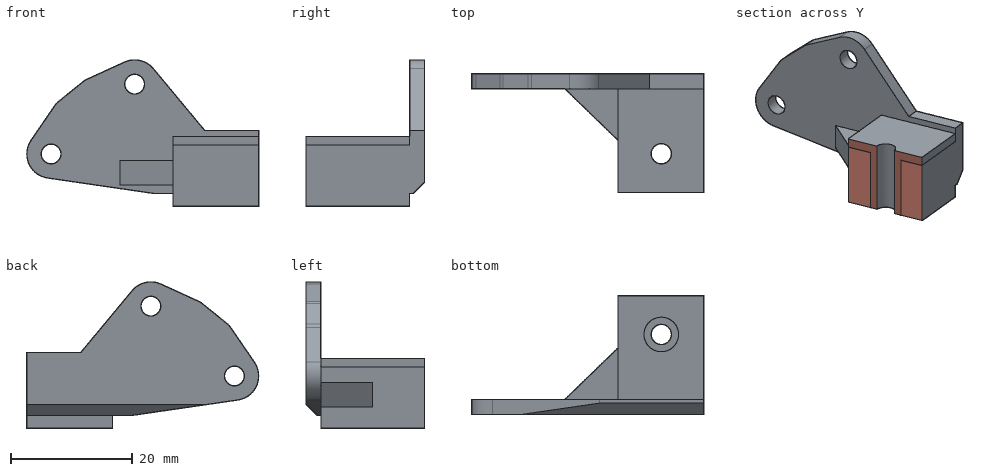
import cadquery as cq
import math

total_length = 38.25
plate_thickness = 2.5
lobe_radius = 4.0
lug_hole_diameter = 3.2
lower_lug = (lobe_radius, 8.65)
upper_lug = (17.8, 20.15)
lower_rim_corner = (4.85, 17.0)
upper_rim_corner = (9.55, 20.8)
rim_corner_radius = 5.7 / 2
plate_bottom = 2.1
plate_bottom_start = 21.05
plate_shoulder = 12.55
plate_shoulder_start = 29.35
back_chamfer = 1.87

block_width = 14.15
block_depth = 17.1
block_height = 10.1
pad_thickness = 1.45
block_left = total_length - block_width
bolt_hole_diameter = 3.3
sleeve_diameter = 5.7
bolt_x = 31.25
bolt_y = -10.7

gusset_width = 8.75
gusset_depth = 8.5
gusset_bottom = 3.5
gusset_height = 4.05


def tangent_point(center, corner, side):
    """Touch point on a lobe of the line to corner; side +1 is the counterclockwise one."""
    dx = corner[0] - center[0]
    dz = corner[1] - center[1]
    angle = math.atan2(dz, dx) + side * math.acos(lobe_radius / math.hypot(dx, dz))
    return on_lobe(center, angle)


def on_lobe(center, angle):
    return (center[0] + lobe_radius * math.cos(angle), center[1] + lobe_radius * math.sin(angle))


def make_plate():
    bottom_corner = (plate_bottom_start, plate_bottom)
    shoulder_corner = (plate_shoulder_start, plate_shoulder)
    plate = (
        cq.Workplane("XZ")
        .moveTo(total_length, plate_bottom)
        .lineTo(*bottom_corner)
        .lineTo(*tangent_point(lower_lug, bottom_corner, -1))
        .threePointArc(on_lobe(lower_lug, math.pi), tangent_point(lower_lug, lower_rim_corner, 1))
        .lineTo(*lower_rim_corner)
        .lineTo(*upper_rim_corner)
        .lineTo(*tangent_point(upper_lug, upper_rim_corner, -1))
        .threePointArc(on_lobe(upper_lug, math.pi / 2), tangent_point(upper_lug, shoulder_corner, 1))
        .lineTo(*shoulder_corner)
        .lineTo(total_length, plate_shoulder)
        .close()
        .extrude(-plate_thickness)
    )
    for corner in (lower_rim_corner, upper_rim_corner):
        nearest = cq.selectors.NearestToPointSelector((corner[0], plate_thickness / 2, corner[1]))
        plate = plate.edges("|Y").edges(nearest).fillet(rim_corner_radius)

    bevel = (
        cq.Workplane("YZ")
        .moveTo(plate_thickness - back_chamfer, plate_bottom)
        .lineTo(plate_thickness, plate_bottom)
        .lineTo(plate_thickness, plate_bottom + back_chamfer)
        .close()
        .extrude(total_length)
    )
    lug_holes = (
        cq.Workplane("XZ")
        .pushPoints([lower_lug, upper_lug])
        .circle(lug_hole_diameter / 2)
        .extrude(-plate_thickness)
    )
    return plate.cut(bevel).cut(lug_holes)


def make_gusset():
    return (
        cq.Workplane("XY", origin=(block_left, 0, gusset_bottom))
        .lineTo(-gusset_width, 0)
        .lineTo(0, -gusset_depth)
        .close()
        .extrude(gusset_height)
    )


def make_slab(bottom, height):
    return cq.Workplane("XY", origin=(block_left, -block_depth, bottom)).box(
        block_width, block_depth, height, centered=False
    )


def bolt_cylinder(diameter, height):
    """Vertical cylinder on the bolt axis, rising from the underside of the block."""
    return cq.Workplane("XY", origin=(bolt_x, bolt_y, 0)).circle(diameter / 2).extrude(height)


def make_bracket():
    block = make_slab(0, block_height).cut(bolt_cylinder(sleeve_diameter, block_height))
    return make_plate().union(block).union(make_gusset())


def make_pad():
    pad_top = block_height + pad_thickness
    slab = make_slab(block_height, pad_thickness)
    sleeve = bolt_cylinder(sleeve_diameter, block_height)
    return slab.union(sleeve).cut(bolt_cylinder(bolt_hole_diameter, pad_top))


bracket = make_bracket().solids()
pad = make_pad().solids()

result = cq.Compound.makeCompound([bracket.val(), pad.val()])